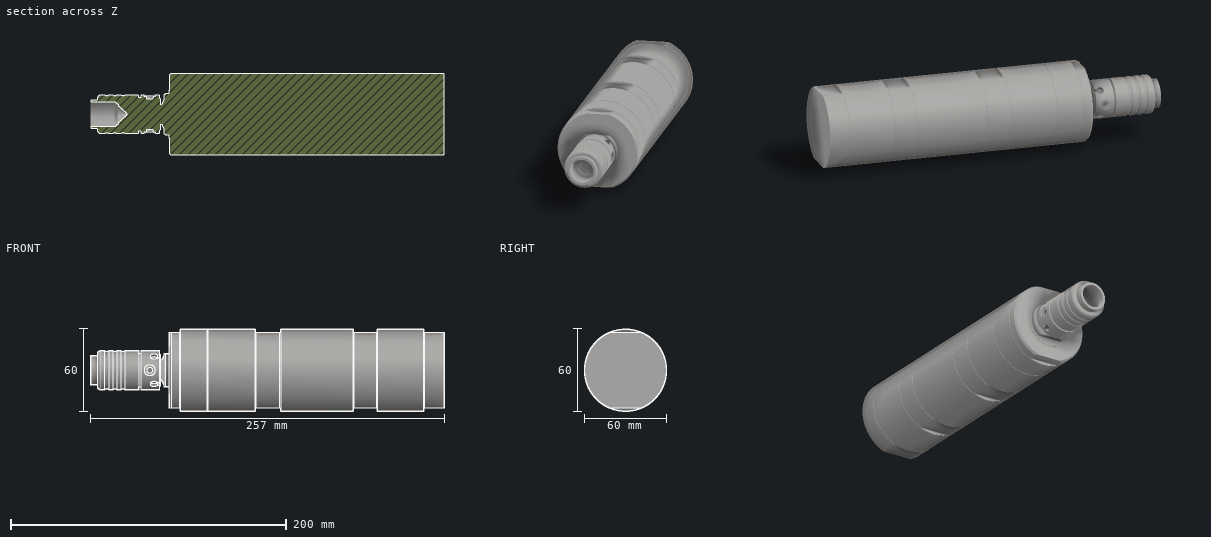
import cadquery as cq
import math

total_length = 257.0
body_diameter = 60.0
body_front = 57.0
body_chamfer_length = 1.5
body_chamfer_depth = 1.3
flat_height = 27.5
joint_positions = [64.8, 84.8, 119.8, 137.8, 191.0, 208.0, 242.0]
joint_width = 0.8
joint_depth = 0.3
first_joint, _, flat_2_start, flat_2_end, flat_3_start, flat_3_end, last_joint = joint_positions
flat_spans = [
    (body_front, first_joint),
    (flat_2_start, flat_2_end),
    (flat_3_start, flat_3_end),
    (last_joint, total_length),
]

tip_radius = 21.3 / 2
shoulder_position = 5.0
shell_radius = 28.5 / 2
shoulder_fillet = 2.3
rib_start = shoulder_position + shoulder_fillet
rib_end = 25.0
scallop_count = 3
rib_pitch = (rib_end - rib_start) / (2 * scallop_count)
scallop_depth = 0.65
ring_groove_start = 35.0
ring_groove_end = 36.5
ring_groove_radius = 12.3
shell_end = 50.0
shell_lip_radius = 11.5
shell_lip_end = 51.0

neck_radius = 7.5
neck_end = 51.7
nut_front = 53.2
cone_radius = 11.0
nut_radius = 30.5 / 2
nut_chamfer_length = 1.3
nut_chamfer_depth = 0.9
nut_flat_height = 12.0
collar_radius = 35.2 / 2
collar_thickness = 0.3

socket_radius = 8.7
socket_depth = 18.0
cone_end_radius = 7.0
cone_end_depth = 20.0
contact_step_diameters = [10.8, 9.0, 6.7, 5.0, 3.5, 1.5]
contact_step_length = 1.0

screw_angles = (90, 270)
screw_position = 43.0
screw_recess_diameter = 8.0
screw_recess_depth = 1.0
screw_socket_diameter = 4.0
screw_socket_depth = 3.0

indicator_angles = (45, 135, 225, 315)
indicator_position = 46.0
indicator_diameter = 5.5
indicator_depth = 3.0
indicator_slot_width = 2.5


def cylinder(start, end, radius):
    """Cylinder on the X axis between two X positions."""
    return cq.Workplane("YZ").workplane(offset=start).circle(radius).extrude(end - start)


def beyond_flats(start, end, flat_distance):
    """Material above and below a pair of flats that face +Z and -Z."""
    block = cq.Workplane("XY").box(end - start, 2 * body_diameter, body_diameter)
    block = block.translate(((start + end) / 2, 0, flat_distance + body_diameter / 2))
    return block.union(block.mirror("XY"))


def make_body():
    """Chamfered cylinder with flats and ring grooves at the section joints."""
    radius = body_diameter / 2
    profile = (
        cq.Workplane("XY")
        .moveTo(body_front, 0)
        .lineTo(body_front, radius - body_chamfer_depth)
        .lineTo(body_front + body_chamfer_length, radius)
        .lineTo(total_length, radius)
        .lineTo(total_length, 0)
        .close()
    )
    body = profile.revolve(360, (0, 0, 0), (1, 0, 0))
    for start, end in flat_spans:
        body = body.cut(beyond_flats(start, end, flat_height))
    for position in joint_positions:
        joint_start = position - joint_width / 2
        joint_end = position + joint_width / 2
        joint = cylinder(joint_start, joint_end, body_diameter)
        joint = joint.cut(cylinder(joint_start, joint_end, radius - joint_depth))
        body = body.cut(joint)
    return body


def make_connector():
    """Tip, ribbed shell and neck, turned as one profile."""
    arc_drop = shoulder_fillet * (1 - math.sqrt(0.5))
    profile = (
        cq.Workplane("XY")
        .lineTo(0, tip_radius)
        .lineTo(shoulder_position, tip_radius)
        .lineTo(shoulder_position, shell_radius - shoulder_fillet)
        .threePointArc(
            (shoulder_position + arc_drop, shell_radius - arc_drop),
            (rib_start, shell_radius),
        )
    )
    for scallop in range(scallop_count):
        scallop_start = rib_start + (2 * scallop + 1) * rib_pitch
        profile = profile.lineTo(scallop_start, shell_radius).threePointArc(
            (scallop_start + rib_pitch / 2, shell_radius - scallop_depth),
            (scallop_start + rib_pitch, shell_radius),
        )
    profile = (
        profile
        .lineTo(ring_groove_start, shell_radius)
        .lineTo(ring_groove_start, ring_groove_radius)
        .lineTo(ring_groove_end, ring_groove_radius)
        .lineTo(ring_groove_end, shell_radius)
        .lineTo(shell_end, shell_radius)
        .lineTo(shell_end, shell_lip_radius)
        .lineTo(shell_lip_end, shell_lip_radius)
        .lineTo(shell_lip_end, neck_radius)
        .lineTo(neck_end, neck_radius)
        .lineTo(nut_front, cone_radius)
        .lineTo(nut_front, 0)
        .close()
    )
    return profile.revolve(360, (0, 0, 0), (1, 0, 0))


def make_nut():
    """Chamfered round nut with two flats, seated on a thin collar."""
    profile = (
        cq.Workplane("XY")
        .moveTo(nut_front, 0)
        .lineTo(nut_front, nut_radius - nut_chamfer_depth)
        .lineTo(nut_front + nut_chamfer_length, nut_radius)
        .lineTo(body_front, nut_radius)
        .lineTo(body_front, 0)
        .close()
    )
    nut = profile.revolve(360, (0, 0, 0), (1, 0, 0))
    nut = nut.cut(beyond_flats(nut_front, body_front, nut_flat_height))
    return nut.union(cylinder(body_front - collar_thickness, body_front, collar_radius))


def make_socket():
    """Blind bore of the tip: a straight part, a cone and narrowing steps."""
    profile = (
        cq.Workplane("XY")
        .lineTo(0, socket_radius)
        .lineTo(socket_depth, socket_radius)
        .lineTo(cone_end_depth, cone_end_radius)
    )
    step_end = cone_end_depth
    for diameter in contact_step_diameters:
        profile = profile.lineTo(step_end, diameter / 2)
        step_end += contact_step_length
        profile = profile.lineTo(step_end, diameter / 2)
    return profile.lineTo(step_end, 0).close().revolve(360, (0, 0, 0), (1, 0, 0))


def make_screw_cut():
    """Recess above a screw head and the socket in the head, on the +Z side."""
    recess = (
        cq.Workplane("XY")
        .workplane(offset=shell_radius - screw_recess_depth)
        .circle(screw_recess_diameter / 2)
        .extrude(2 * screw_recess_depth)
    )
    socket = (
        cq.Workplane("XY")
        .workplane(offset=shell_radius - screw_socket_depth)
        .circle(screw_socket_diameter / 2)
        .extrude(2 * screw_socket_depth)
    )
    return recess.union(socket).translate((screw_position, 0, 0))


def make_indicator_cut():
    """Blind hole with a slot running to the shell end, on the +Z side."""
    floor = cq.Workplane("XY").workplane(offset=shell_radius - indicator_depth)
    hole = floor.center(indicator_position, 0).circle(indicator_diameter / 2).extrude(2 * indicator_depth)
    slot_length = shell_end - indicator_position
    slot = (
        floor.center(indicator_position + slot_length / 2, 0)
        .rect(slot_length, indicator_slot_width)
        .extrude(2 * indicator_depth)
    )
    return hole.union(slot)


def turned(shape, angle):
    """Copy of a shape turned about the X axis."""
    return shape.rotate((0, 0, 0), (1, 0, 0), angle)


result = make_body().union(make_nut()).union(make_connector()).cut(make_socket())
for screw_angle in screw_angles:
    result = result.cut(turned(make_screw_cut(), screw_angle))
for indicator_angle in indicator_angles:
    result = result.cut(turned(make_indicator_cut(), indicator_angle))